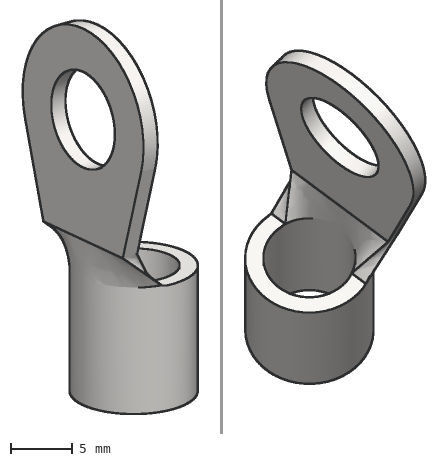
import cadquery as cq
import math

barrel_diameter = 10.5
wall = 1.5
barrel_length = 11.0
outer_radius = barrel_diameter / 2
inner_radius = outer_radius - wall

overall_height = 33.0
ring_diameter = 15.97
stud_hole_diameter = 8.38
tongue_base_z = 14.5
ring_radius = ring_diameter / 2
ring_center_z = overall_height - ring_radius
tongue_front_y = -outer_radius
tongue_back_y = tongue_front_y + wall

lip_height = 0.1
lip_edge_y = -0.73
neck_edge_y = -1.12
neck_base_z = barrel_length + lip_height


def make_barrel():
    return (
        cq.Workplane("XY")
        .circle(outer_radius)
        .circle(inner_radius)
        .extrude(barrel_length)
    )


def make_tongue():
    """Round ring with straight flanks tangent to it, narrowing to the barrel width."""
    drop = ring_center_z - tongue_base_z
    corner_distance = math.hypot(outer_radius, drop)
    corner_angle = math.atan2(-drop, outer_radius)
    tangent_angle = corner_angle + math.acos(ring_radius / corner_distance)
    tangent_x = ring_radius * math.cos(tangent_angle)
    tangent_z = ring_center_z + ring_radius * math.sin(tangent_angle)

    front_plane = cq.Workplane("XZ", origin=(0, tongue_front_y, 0))
    blank = (
        front_plane
        .moveTo(-outer_radius, tongue_base_z)
        .lineTo(outer_radius, tongue_base_z)
        .lineTo(tangent_x, tangent_z)
        .threePointArc((0, overall_height), (-tangent_x, tangent_z))
        .close()
        .extrude(-wall)
    )
    stud_hole = (
        front_plane
        .center(0, ring_center_z)
        .circle(stud_hole_diameter / 2)
        .extrude(-wall)
    )
    return blank.cut(stud_hole)


def make_lip():
    """Thin piece of barrel wall with sloped ends, joining the barrel to the neck."""
    wall_ring = (
        cq.Workplane("XY", origin=(0, 0, barrel_length))
        .circle(outer_radius)
        .circle(inner_radius)
        .extrude(lip_height)
    )
    side_profile = (
        cq.Workplane("YZ")
        .moveTo(-outer_radius, barrel_length)
        .lineTo(lip_edge_y, barrel_length)
        .lineTo(neck_edge_y, neck_base_z)
        .lineTo(-outer_radius, neck_base_z)
        .close()
        .extrude(outer_radius, both=True)
    )
    return wall_ring.intersect(side_profile)


def make_neck():
    """Ruled transition from a curved piece of barrel wall to the flat tongue."""
    outer_x = math.sqrt(outer_radius**2 - neck_edge_y**2)
    inner_x = math.sqrt(inner_radius**2 - neck_edge_y**2)

    curved_section = (
        cq.Workplane("XY", origin=(0, 0, neck_base_z))
        .moveTo(-outer_x, neck_edge_y)
        .threePointArc((0, -outer_radius), (outer_x, neck_edge_y))
        .lineTo(inner_x, neck_edge_y)
        .threePointArc((0, -inner_radius), (-inner_x, neck_edge_y))
        .close()
        .val()
    )
    flat_section = (
        cq.Workplane("XY", origin=(0, 0, tongue_base_z))
        .moveTo(-outer_radius, tongue_front_y)
        .lineTo(outer_radius, tongue_front_y)
        .lineTo(outer_radius, tongue_back_y)
        .lineTo(-outer_radius, tongue_back_y)
        .close()
        .val()
    )
    faces = [
        cq.Face.makeRuledSurface(curved_edge, flat_edge)
        for curved_edge, flat_edge in zip(curved_section.Edges(), flat_section.Edges())
    ]
    faces.append(cq.Face.makeFromWires(curved_section))
    faces.append(cq.Face.makeFromWires(flat_section))
    return cq.Workplane(cq.Solid.makeSolid(cq.Shell.makeShell(faces)).fix())


result = make_barrel().union(make_lip()).union(make_neck()).union(make_tongue())